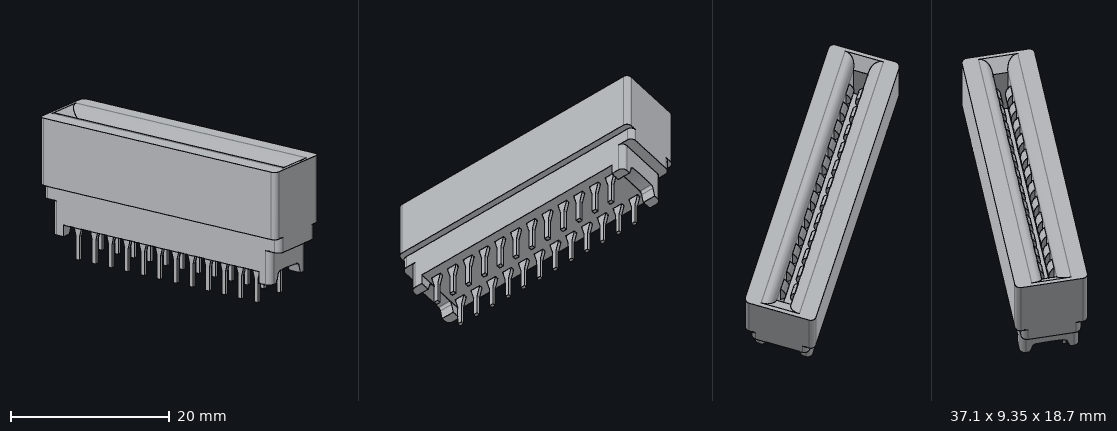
import cadquery as cq
import math

LENGTH = 37.08
WIDTH = 9.35
HEIGHT = 18.7

UPPER_DEPTH = 8.97
MIDDLE_DEPTH = 10.98
ROOF_DEPTH = 13.98
FOOT_DEPTH = 15.55
LOWER_WIDTH = 7.68
FOOT_INSET = 1.4
FOOT_LENGTH = LENGTH - 2 * FOOT_INSET
UPPER_RADIUS = 0.7
LOWER_RADIUS = 0.75

CLEARANCE_LENGTH = 30.6
ARCH_BOTTOM_WIDTH = 5.08
ARCH_TOP_WIDTH = 4.23
ARCH_CROWN = 0.1
ARCH_RADIUS = 0.45

SLOT_LENGTH = 33.0
SLOT_WIDTH = 1.93
SLOT_DEPTH = 8.97
MOUTH_FLARE = 1.55

CONTACT_COUNT = 12
ROW_LENGTH = 27.95
PITCH = ROW_LENGTH / (CONTACT_COUNT - 1)
CONTACT_WIDTH = 1.45
CONTACT_REACH = 0.65
CONTACT_DEPTH = 2.05
CONTACT_HEIGHT = 3.25
PIN_ROW_SPACING = 4.8
PIN_WIDTH = 0.6
PIN_THICKNESS = 0.5
PIN_SHOULDER_WIDTH = 1.4

OVERLAP = 0.2


def tier(length, width, depth, radius):
    """Round-cornered block from the top face down to the given depth."""
    block = cq.Workplane("XY").box(length, width, depth, centered=(True, True, False))
    return block.edges("|Z").fillet(radius).translate((0, 0, HEIGHT - depth))


def housing():
    upper = tier(LENGTH, WIDTH, UPPER_DEPTH, UPPER_RADIUS)
    middle = tier(LENGTH, LOWER_WIDTH, MIDDLE_DEPTH, LOWER_RADIUS)
    foot = tier(FOOT_LENGTH, LOWER_WIDTH, FOOT_DEPTH, LOWER_RADIUS)
    return upper.union(middle).union(foot)


def foot_clearance():
    """Channel across the width between the feet, plus the arch that runs through both feet."""
    foot_height = FOOT_DEPTH - ROOF_DEPTH
    foot_bottom = HEIGHT - FOOT_DEPTH
    channel = (
        cq.Workplane("XY", origin=(0, 0, foot_bottom))
        .box(CLEARANCE_LENGTH, WIDTH, foot_height, centered=(True, True, False))
    )
    arch = (
        cq.Workplane("YZ", origin=(0, 0, foot_bottom))
        .moveTo(-ARCH_BOTTOM_WIDTH / 2, 0)
        .lineTo(-ARCH_TOP_WIDTH / 2, foot_height - ARCH_CROWN)
        .threePointArc((0, foot_height), (ARCH_TOP_WIDTH / 2, foot_height - ARCH_CROWN))
        .lineTo(ARCH_BOTTOM_WIDTH / 2, 0)
        .close()
        .extrude(LENGTH / 2, both=True)
        .edges("|X and (not <Z)")
        .fillet(ARCH_RADIUS)
    )
    return channel.union(arch)


def slot():
    """Card slot: long sides flare out along convex arcs, ends flare out at 45 degrees."""
    half_width = SLOT_WIDTH / 2
    half_length = SLOT_LENGTH / 2
    mouth_half_width = half_width + MOUTH_FLARE
    mouth_half_length = half_length + MOUTH_FLARE
    flare_bottom = HEIGHT - MOUTH_FLARE
    bend = MOUTH_FLARE * (1 - math.cos(math.pi / 4))

    cross_section = (
        cq.Workplane("YZ")
        .moveTo(-mouth_half_width, HEIGHT)
        .threePointArc((-half_width - bend, HEIGHT - bend), (-half_width, flare_bottom))
        .lineTo(half_width, flare_bottom)
        .threePointArc((half_width + bend, HEIGHT - bend), (mouth_half_width, HEIGHT))
        .close()
        .extrude(LENGTH / 2, both=True)
    )
    lengthwise_section = (
        cq.Workplane("XZ")
        .moveTo(-mouth_half_length, HEIGHT)
        .lineTo(-half_length, flare_bottom)
        .lineTo(half_length, flare_bottom)
        .lineTo(mouth_half_length, HEIGHT)
        .close()
        .extrude(WIDTH / 2, both=True)
    )
    mouth = cross_section.intersect(lengthwise_section)
    well = (
        cq.Workplane("XY", origin=(0, 0, HEIGHT - SLOT_DEPTH))
        .box(SLOT_LENGTH, SLOT_WIDTH, SLOT_DEPTH - MOUTH_FLARE, centered=(True, True, False))
    )
    return mouth.union(well)


def contact():
    """Contact on the +Y slot wall: a bow bulging towards the slot centre."""
    wall = SLOT_WIDTH / 2
    top = HEIGHT - CONTACT_DEPTH
    bottom = top - CONTACT_HEIGHT
    middle = (top + bottom) / 2
    return (
        cq.Workplane("YZ")
        .moveTo(wall + OVERLAP, bottom)
        .lineTo(wall, bottom)
        .threePointArc((wall - CONTACT_REACH, middle), (wall, top))
        .lineTo(wall + OVERLAP, top)
        .close()
        .extrude(CONTACT_WIDTH / 2, both=True)
    )


def pin():
    """Pin of the +Y row: a tapered shoulder under the roof, then a straight tail."""
    roof = HEIGHT - ROOF_DEPTH
    tail_top = HEIGHT - FOOT_DEPTH
    half_tail = PIN_WIDTH / 2
    half_shoulder = PIN_SHOULDER_WIDTH / 2
    outline = [
        (-half_tail, 0),
        (half_tail, 0),
        (half_tail, tail_top),
        (half_shoulder, roof),
        (half_shoulder, roof + OVERLAP),
        (-half_shoulder, roof + OVERLAP),
        (-half_shoulder, roof),
        (-half_tail, tail_top),
    ]
    return (
        cq.Workplane("XZ", origin=(0, PIN_ROW_SPACING / 2, 0))
        .polyline(outline)
        .close()
        .extrude(PIN_THICKNESS / 2, both=True)
    )


result = housing().cut(foot_clearance()).cut(slot())

terminal = contact().union(pin())
terminal_pair = terminal.union(terminal.mirror("XZ"))
for index in range(CONTACT_COUNT):
    x = index * PITCH - ROW_LENGTH / 2
    result = result.union(terminal_pair.translate((x, 0, 0)))